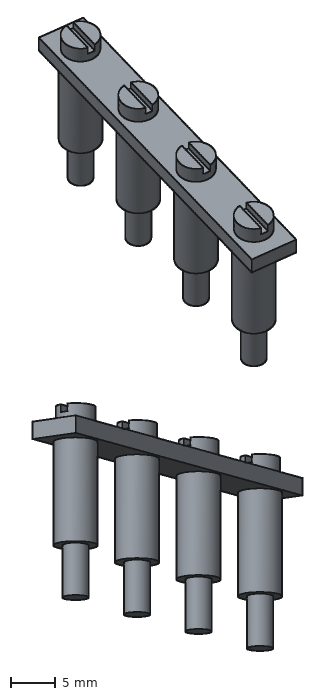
import cadquery as cq

bar_length = 43.9
bar_width = 6.0
bar_thickness = 2.0

screw_count = 4
screw_pitch = 11.9
first_screw_inset = 4.05
head_diameter = 4.5
head_height = 2.0
shank_diameter = 3.0
slot_width = 0.9
slot_depth = 0.9

sleeve_diameter = 5.0
sleeve_length = 11.95

overall_height = 22.0
bar_top = bar_thickness
head_top = bar_top + head_height
shank_bottom = head_top - overall_height

screw_positions = [
    -bar_length / 2 + first_screw_inset + i * screw_pitch for i in range(screw_count)
]


def make_bar():
    """Flat bar with one clearance-free hole for each screw shank."""
    return (
        cq.Workplane("XY")
        .box(bar_length, bar_width, bar_thickness, centered=(True, True, False))
        .faces(">Z")
        .workplane()
        .pushPoints([(x, 0) for x in screw_positions])
        .hole(shank_diameter)
    )


def make_sleeve(x):
    """Tube hanging from the underside of the bar, bored to fit the shank."""
    return (
        cq.Workplane("XY", origin=(x, 0, 0))
        .circle(sleeve_diameter / 2)
        .circle(shank_diameter / 2)
        .extrude(-sleeve_length)
    )


def make_screw(x):
    """Cheese-head screw with a driver slot running along X."""
    shank = (
        cq.Workplane("XY", origin=(x, 0, shank_bottom))
        .circle(shank_diameter / 2)
        .extrude(bar_top - shank_bottom)
    )
    head = (
        cq.Workplane("XY", origin=(x, 0, bar_top))
        .circle(head_diameter / 2)
        .extrude(head_height)
    )
    slot = cq.Workplane("XY", origin=(x, 0, head_top - slot_depth)).box(
        head_diameter, slot_width, slot_depth, centered=(True, True, False)
    )
    return shank.union(head).cut(slot)


bar = make_bar()
sleeves = [make_sleeve(x) for x in screw_positions]
screws = [make_screw(x) for x in screw_positions]

result = cq.Compound.makeCompound(
    [bar.val(), *[sleeve.val() for sleeve in sleeves], *[screw.val() for screw in screws]]
)